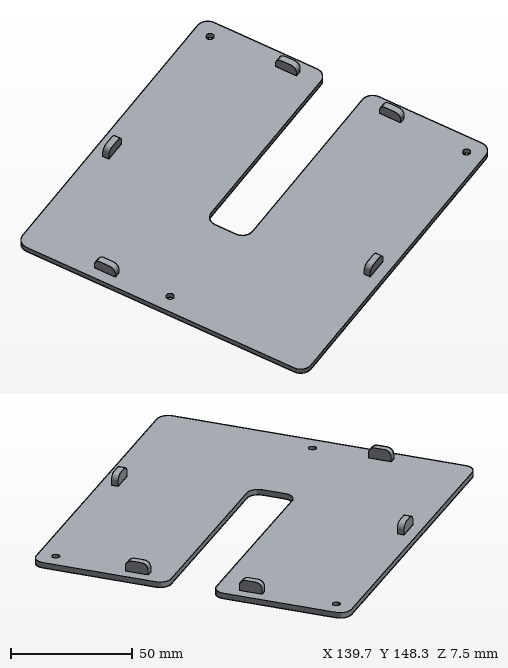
import cadquery as cq

plate_width = 139.7
plate_length = 148.3
total_height = 7.5
plate_thickness = 2.5
corner_radius = 5.0

slot_width = 20.0
slot_depth = 96.7

hole_diameter = 3.3
hole_x = 62.2
hole_y = 66.6

tab_length = 10.1
tab_thickness = 3.0
tab_height = total_height - plate_thickness
tab_radius = 3.0
end_tab_y = 67.8
back_tab_x = 25.2
front_tab_x = -30.0
side_tab_x = 63.3
side_tab_y = -9.0


def make_plate():
    """U-shaped plate with every vertical edge rounded."""
    plate = cq.Workplane("XY").box(
        plate_width, plate_length, plate_thickness, centered=(True, True, False)
    )
    slot_center_y = (plate_length - slot_depth) / 2
    slot = (
        cq.Workplane("XY")
        .center(0, slot_center_y)
        .rect(slot_width, slot_depth)
        .extrude(plate_thickness)
    )
    return plate.cut(slot).edges("|Z").fillet(corner_radius)


def make_tab(x, y, angle):
    """Tab on the plate with rounded upper ends; at angle 0 it runs along X."""
    tab = cq.Workplane("XY").box(
        tab_length, tab_thickness, tab_height, centered=(True, True, False)
    )
    tab = tab.edges("|Y and >Z").fillet(tab_radius)
    return tab.rotate((0, 0, 0), (0, 0, 1), angle).translate((x, y, plate_thickness))


tab_placements = [
    (-back_tab_x, end_tab_y, 0),
    (back_tab_x, end_tab_y, 0),
    (front_tab_x, -end_tab_y, 0),
    (-side_tab_x, side_tab_y, 90),
    (side_tab_x, side_tab_y, 90),
]
hole_centers = [(-hole_x, hole_y), (hole_x, hole_y), (0, -hole_y)]

holes = (
    cq.Workplane("XY")
    .pushPoints(hole_centers)
    .circle(hole_diameter / 2)
    .extrude(plate_thickness)
)
result = make_plate().cut(holes)
for x, y, angle in tab_placements:
    result = result.union(make_tab(x, y, angle))